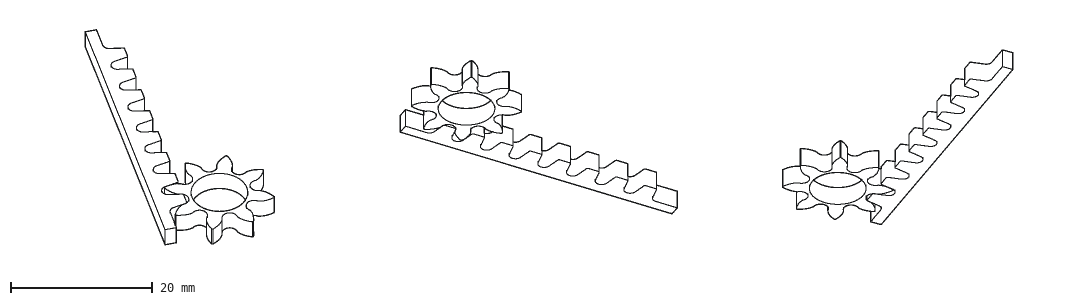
import cadquery as cq
import math


tooth_count = 8
pitch_diameter = 11.65
pressure_angle = math.radians(12)
thickness = 2.88

pitch_radius = pitch_diameter / 2
pitch = math.pi * pitch_diameter / tooth_count
half_tooth = pitch / 4

rack_length = 43.35
rack_teeth = 8
last_tooth_inset = 5.6
rack_base = 1.65
rack_addendum = 0.8
rack_dedendum = 2.0
rack_tip_fillet = 0.22

pitch_line_y = rack_base + rack_dedendum
rack_top = pitch_line_y + rack_addendum
last_tooth_x = rack_length - last_tooth_inset
first_tooth_x = last_tooth_x - pitch * (rack_teeth - 1)

bore_diameter = 8.0
backlash = 0.05
pinion_addendum = 2.0
pinion_dedendum = 1.3
root_curve_points = 17
flank_points = 9

base_radius = pitch_radius * math.cos(pressure_angle)
half_gap = half_tooth + backlash / 2
tip_radius = pitch_radius + pinion_addendum
tooth_angle = 2 * math.pi / tooth_count
pinion_x = last_tooth_x
pinion_y = pitch_line_y + pitch_radius


def full_round_radius(pitch_half_width, depth):
    """Radius of the single arc that closes a straight-flanked tooth or gap at a depth from the pitch line."""
    half_width = pitch_half_width - depth * math.tan(pressure_angle)
    return half_width * math.cos(pressure_angle) / (1 - math.sin(pressure_angle))


def rack_half_width(y):
    """Half width of a rack tooth between its straight flanks."""
    return half_tooth + (pitch_line_y - y) * math.tan(pressure_angle)


def make_rack():
    """Bar with straight-flanked teeth, one full arc at the bottom of each gap and rounded tooth tips."""
    root_radius = full_round_radius(half_tooth, rack_dedendum)
    root_end_y = rack_base + root_radius * (1 - math.sin(pressure_angle))
    root_end_x = rack_half_width(root_end_y)
    tip_start_y = rack_top - rack_tip_fillet * (1 - math.sin(pressure_angle))
    tip_start_x = rack_half_width(tip_start_y)
    tip_flat_x = tip_start_x - rack_tip_fillet * math.cos(pressure_angle)

    outline = (
        cq.Workplane("XY")
        .lineTo(0, rack_base)
        .lineTo(first_tooth_x - pitch / 2, rack_base)
    )
    for index in range(rack_teeth):
        x = first_tooth_x + index * pitch
        outline = (
            outline.radiusArc((x - root_end_x, root_end_y), -root_radius)
            .lineTo(x - tip_start_x, tip_start_y)
            .radiusArc((x - tip_flat_x, rack_top), rack_tip_fillet)
            .lineTo(x + tip_flat_x, rack_top)
            .radiusArc((x + tip_start_x, tip_start_y), rack_tip_fillet)
            .lineTo(x + root_end_x, root_end_y)
            .radiusArc((x + pitch / 2, rack_base), -root_radius)
        )
    return (
        outline.lineTo(rack_length, rack_base)
        .lineTo(rack_length, 0)
        .close()
        .extrude(thickness)
    )


def polar_point(radius, angle):
    """Point in the pinion's plane, with the angle measured clockwise from +Y."""
    return cq.Vector(pinion_x + radius * math.sin(angle), pinion_y + radius * math.cos(angle))


def root_curve():
    """Polar points of the bottom of one gap: the envelope of a round-tipped rack tooth rolling past."""
    round_radius = full_round_radius(half_gap, pinion_dedendum)
    center_depth = pinion_dedendum - round_radius
    end_direction = math.pi / 2 - pressure_angle
    points = []
    for index in range(root_curve_points):
        direction = end_direction * (2 * index / (root_curve_points - 1) - 1)
        travel = center_depth * math.tan(direction)
        x = travel + round_radius * math.sin(direction)
        y = pitch_radius - center_depth - round_radius * math.cos(direction)
        points.append((math.hypot(x, y), math.atan2(x, y) - travel / pitch_radius))
    return points


def flank_angle(radius):
    """Angle from the gap centre to the involute flank at a radius."""
    roll = math.acos(base_radius / radius)
    involute = math.tan(roll) - roll
    base_involute = math.tan(pressure_angle) - pressure_angle
    return half_gap / pitch_radius - base_involute + involute


def make_pinion():
    """Ring of involute teeth, with one gap centred on the last tooth of the rack."""
    root = root_curve()
    root_end_radius = root[-1][0]
    flank = [root[-1]]
    for index in range(1, flank_points):
        radius = root_end_radius + (tip_radius - root_end_radius) * index / (flank_points - 1)
        flank.append((radius, flank_angle(radius)))
    tip_angle = flank[-1][1]

    edges = []
    for index in range(tooth_count):
        turn = index * tooth_angle
        next_turn = turn + tooth_angle
        root_points = [polar_point(r, turn + a) for r, a in root]
        rising_points = [polar_point(r, turn + a) for r, a in flank]
        falling_points = [polar_point(r, next_turn - a) for r, a in reversed(flank)]
        tip_middle = polar_point(tip_radius, turn + tooth_angle / 2)
        edges += [
            cq.Edge.makeSpline(root_points),
            cq.Edge.makeSpline(rising_points),
            cq.Edge.makeThreePointArc(rising_points[-1], tip_middle, falling_points[0]),
            cq.Edge.makeSpline(falling_points),
        ]
    outline = cq.Wire.assembleEdges(edges)
    bore = cq.Wire.makeCircle(bore_diameter / 2, cq.Vector(pinion_x, pinion_y), cq.Vector(0, 0, 1))
    return cq.Workplane(cq.Solid.extrudeLinear(outline, [bore], cq.Vector(0, 0, thickness)))


rack = make_rack()
pinion = make_pinion()

result = cq.Compound.makeCompound([rack.val(), pinion.val()])